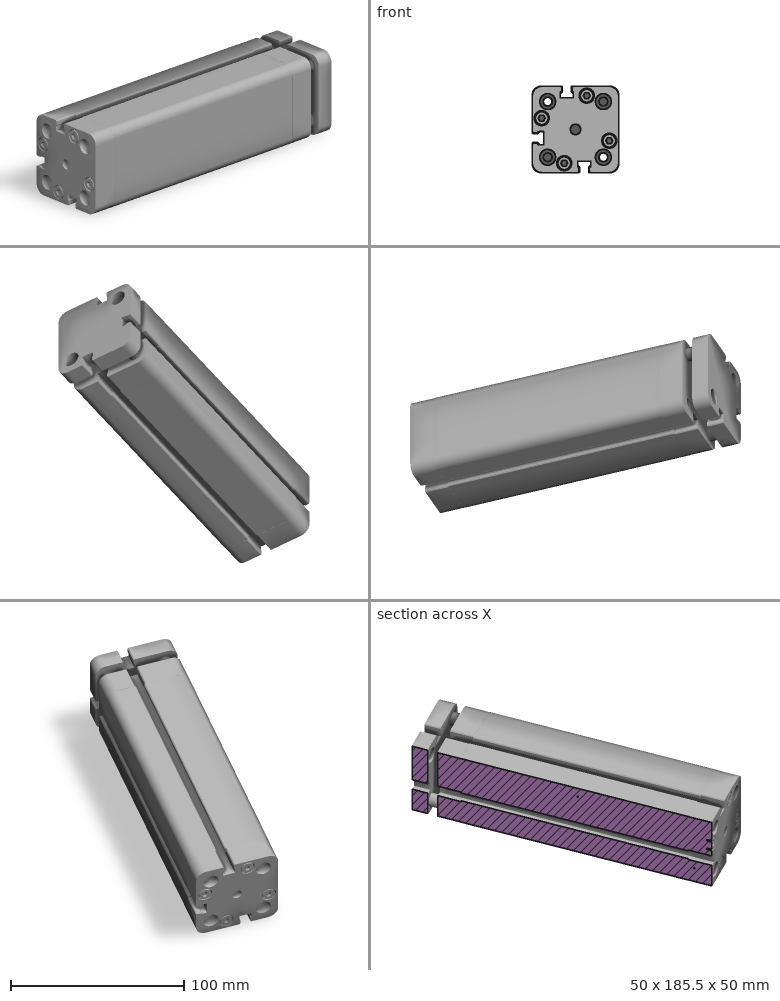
import cadquery as cq

LENGTH = 185.5
WIDTH = 50.0

CAP_LENGTH = 14.5
PLATE_THICKNESS = 10.0
ROD_GAP = 6.0
FRONT_Y = 0.0
BODY_Y = FRONT_Y + CAP_LENGTH
PLATE_Y = LENGTH - PLATE_THICKNESS
REAR_CAP_END_Y = PLATE_Y - ROD_GAP
REAR_CAP_Y = REAR_CAP_END_Y - CAP_LENGTH
BODY_LENGTH = REAR_CAP_Y - BODY_Y

CAP_CORNER_RADIUS = 6.0
BODY_WIDTH = 49.9
BODY_CORNER_RADIUS = 5.4
SLOT_OFFSET = 5.0
SLOT_DEPTH = 6.7
SLOT_WIDTH = 7.5
LIP_DEPTH = 3.0
CAP_SLOT_OPENING = 6.1
BODY_SLOT_OPENING = 5.0
MOUTH_CHAMFER = 0.5
SLOT_ANGLES = (0, 90, 180)

MOUNT_PITCH = 32.0
MOUNT_HOLE_DIAMETER = 5.0
MOUNT_BORE_DIAMETER = 9.0
MOUNT_BORE_DEPTH = 10.0
PLATE_ACCESS_DIAMETER = 9.5

PORT_DIAMETER = 6.0
PORT_DEPTH = 10.0

SCREW_NEAR = 6.5
SCREW_FAR = 19.5
SCREW_BORE_DIAMETER = 8.5
SCREW_HEAD_DIAMETER = 7.5
SCREW_GROOVE_DEPTH = 3.0
SOCKET_CORNERS = 3.9
SOCKET_DEPTH = 3.9

GUIDE_DIAMETER = 8.0
GUIDE_OFFSET = 17.0
ROD_DIAMETER = 12.0
ROD_FLATS = 10.0
ROD_TAPER = 0.5
ROD_TAPER_LENGTH = 1.5
FLAT_RAMP = (ROD_DIAMETER - ROD_FLATS) / 2


def section_at(y):
    """Sketch plane across the part: local x is X and local y is Z."""
    return cq.Workplane("XZ", origin=(0, y, 0))


def along_y(sketch, length):
    """Extrude a cross-section sketch toward +Y."""
    return sketch.extrude(-length)


def cylinders(y, length, diameter, centers):
    return along_y(section_at(y).pushPoints(centers).circle(diameter / 2), length)


def slot_cutter(y, length, width, opening, angle):
    """T-slot with a chamfered mouth and flared lips, turned counter-clockwise from the top side."""
    mouth = opening / 2
    half_slot = SLOT_WIDTH / 2
    flare_end = LIP_DEPTH + half_slot - mouth
    right_side = [
        (mouth + MOUTH_CHAMFER, 0),
        (mouth, MOUTH_CHAMFER),
        (mouth, LIP_DEPTH),
        (half_slot, flare_end),
        (half_slot, SLOT_DEPTH),
    ]
    left_side = [(-x, depth) for x, depth in reversed(right_side)]
    outline = [(x - SLOT_OFFSET, width / 2 - depth) for x, depth in right_side + left_side]
    cutter = along_y(section_at(y).polyline(outline).close(), length)
    return cutter.rotate((0, 0, 0), (0, -1, 0), angle)


def slotted_block(y, length, width, corner_radius, opening):
    """Length of rounded square bar with a T-slot in the top, left and bottom sides."""
    block = along_y(section_at(y).rect(width, width), length).edges("|Y").fillet(corner_radius)
    for angle in SLOT_ANGLES:
        block = block.cut(slot_cutter(y, length, width, opening, angle))
    return block


def piston_rod():
    """Round rod with a tapered end at the plate and two wrench flats facing -X and +X."""
    rod = cylinders(REAR_CAP_END_Y, ROD_GAP, ROD_DIAMETER, [(0, 0)])
    radius = ROD_DIAMETER / 2
    taper_start = PLATE_Y - ROD_TAPER_LENGTH
    taper_ring = (
        cq.Workplane("XY")
        .polyline([(radius, taper_start), (radius, PLATE_Y), (radius - ROD_TAPER, PLATE_Y)])
        .close()
        .revolve(360, (0, 0, 0), (0, 1, 0))
    )
    flat_cut = (
        cq.Workplane("XY", origin=(0, 0, -radius))
        .polyline([
            (radius, REAR_CAP_END_Y),
            (ROD_FLATS / 2, REAR_CAP_END_Y + FLAT_RAMP),
            (ROD_FLATS / 2, PLATE_Y),
            (radius, PLATE_Y),
        ])
        .close()
        .extrude(ROD_DIAMETER)
    )
    return rod.cut(taper_ring).cut(flat_cut).cut(flat_cut.mirror("YZ"))


result = (
    slotted_block(FRONT_Y, CAP_LENGTH, WIDTH, CAP_CORNER_RADIUS, CAP_SLOT_OPENING)
    .union(slotted_block(BODY_Y, BODY_LENGTH, BODY_WIDTH, BODY_CORNER_RADIUS, BODY_SLOT_OPENING))
    .union(slotted_block(REAR_CAP_Y, CAP_LENGTH, WIDTH, CAP_CORNER_RADIUS, CAP_SLOT_OPENING))
    .union(slotted_block(PLATE_Y, PLATE_THICKNESS, WIDTH, CAP_CORNER_RADIUS, CAP_SLOT_OPENING))
)

guide_centers = [(GUIDE_OFFSET, GUIDE_OFFSET), (-GUIDE_OFFSET, -GUIDE_OFFSET)]
result = result.union(cylinders(REAR_CAP_END_Y, ROD_GAP, GUIDE_DIAMETER, guide_centers))
result = result.union(piston_rod())

mount = MOUNT_PITCH / 2
open_corners = [(-mount, mount), (mount, -mount)]
blocked_corners = [(mount, mount), (-mount, -mount)]
all_corners = open_corners + blocked_corners
result = result.cut(cylinders(FRONT_Y, MOUNT_BORE_DEPTH, MOUNT_BORE_DIAMETER, all_corners))
result = result.cut(cylinders(FRONT_Y, REAR_CAP_END_Y, MOUNT_HOLE_DIAMETER, open_corners))
result = result.cut(cylinders(FRONT_Y, CAP_LENGTH, MOUNT_HOLE_DIAMETER, blocked_corners))
result = result.cut(cylinders(PLATE_Y, PLATE_THICKNESS, PLATE_ACCESS_DIAMETER, open_corners))

result = result.cut(cylinders(FRONT_Y, PORT_DEPTH, PORT_DIAMETER, [(0, 0)]))

screw_centers = [
    (SCREW_NEAR, SCREW_FAR),
    (-SCREW_FAR, SCREW_NEAR),
    (-SCREW_NEAR, -SCREW_FAR),
    (SCREW_FAR, -SCREW_NEAR),
]
groove = cylinders(FRONT_Y, SCREW_GROOVE_DEPTH, SCREW_BORE_DIAMETER, screw_centers).cut(
    cylinders(FRONT_Y, SCREW_GROOVE_DEPTH, SCREW_HEAD_DIAMETER, screw_centers)
)
socket = cq.Sketch().regularPolygon(SOCKET_CORNERS / 2, 6, 90)
sockets = along_y(section_at(FRONT_Y).pushPoints(screw_centers).placeSketch(socket), SOCKET_DEPTH)
result = result.cut(groove).cut(sockets)